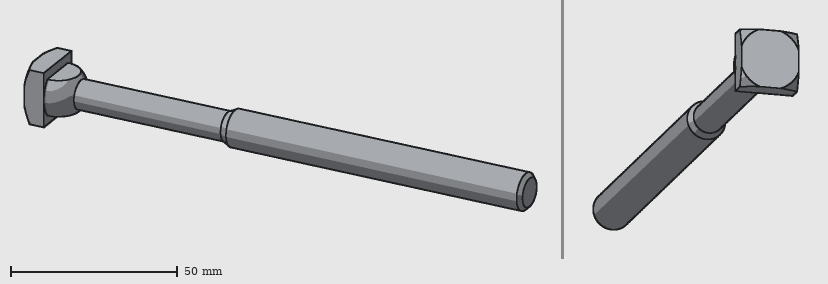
import cadquery as cq
import math

total_length = 167.0
head_width = 18.0
head_thickness = 6.7
corner_circle_diameter = 19.2
corner_chamfer_angle = 30.0
dome_center_x = 7.0
neck_diameter = 9.5
shank_diameter = 12.0
shank_start_x = 67.0
neck_taper_length = 2.5
tip_chamfer = 1.3


def revolve_about_x(outline):
    """Revolve a closed outline of (x, radius) points about the X axis."""
    profile = cq.Workplane("XY").polyline(outline).close()
    return profile.revolve(360, (0, 0, 0), (1, 0, 0))


def make_head():
    """Square head whose four front corners are cut back by a cone."""
    head = cq.Workplane("XY").box(
        head_thickness, head_width, head_width, centered=(False, True, True)
    )
    face_radius = corner_circle_diameter / 2
    cone_slope = math.tan(math.radians(corner_chamfer_angle))
    back_radius = face_radius + head_thickness / cone_slope
    corner_cone = revolve_about_x(
        [(0, 0), (0, face_radius), (head_thickness, back_radius), (head_thickness, 0)]
    )
    return head.intersect(corner_cone)


def make_dome():
    """Spherical collar behind the head, flattened above and below, ending at the neck."""
    dome_radius = head_width / 2
    neck_radius = neck_diameter / 2
    neck_angle = math.asin(neck_radius / dome_radius)
    middle_angle = (neck_angle + math.pi / 2) / 2

    def point_on_dome(angle):
        return (
            dome_center_x + dome_radius * math.cos(angle),
            dome_radius * math.sin(angle),
        )

    end_x, end_radius = point_on_dome(neck_angle)
    profile = (
        cq.Workplane("XY")
        .moveTo(head_thickness, 0)
        .lineTo(head_thickness, dome_radius)
        .lineTo(dome_center_x, dome_radius)
        .threePointArc(point_on_dome(middle_angle), (end_x, end_radius))
        .lineTo(end_x, 0)
        .close()
    )
    dome = profile.revolve(360, (0, 0, 0), (1, 0, 0))
    flat_slab = cq.Workplane("XY").box(
        total_length, 2 * head_width, shank_diameter, centered=(False, True, True)
    )
    return dome.intersect(flat_slab)


def make_stem():
    """Slim neck tapering out to the full shank, with a chamfered tip."""
    neck_radius = neck_diameter / 2
    shank_radius = shank_diameter / 2
    return revolve_about_x(
        [
            (head_thickness, 0),
            (head_thickness, neck_radius),
            (shank_start_x - neck_taper_length, neck_radius),
            (shank_start_x, shank_radius),
            (total_length - tip_chamfer, shank_radius),
            (total_length, shank_radius - tip_chamfer),
            (total_length, 0),
        ]
    )


result = make_head().union(make_dome()).union(make_stem())